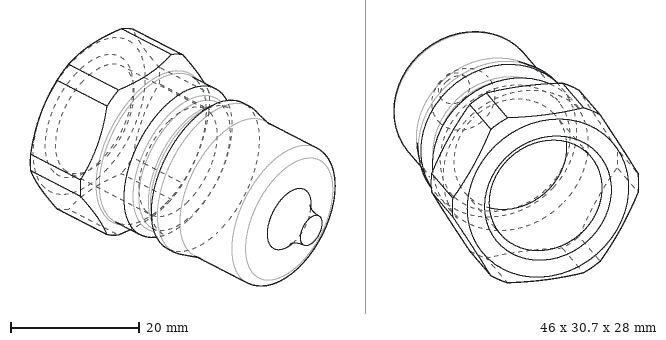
import cadquery as cq
import math


total_length = 46.0
collar_start = 13.3
collar_end = 18.4
groove_start = 19.95
groove_end = 21.95
crest_end = 25.35
barrel_start = 29.15
barrel_end = 41.45

across_flats = 28.0
corner_radius = 30.7 / 2
face_radius = 13.3
cone_slope = math.tan(math.radians(60))
front_bevel = (corner_radius - face_radius) / cone_slope

collar_radius = 12.85
groove_radius = 11.1
barrel_radius = 11.85
barrel_round = 1.5
head_blend = 0.5
groove_blend = 0.9

nose_base_radius = 5.2
nose_tip_radius = 2.58

bore_radius = 9.3
bore_mouth_radius = 10.45
bore_depth = 18.4


def blend_point(x_tangent, floor_radius, blend_radius, angle, direction):
    """Point on a fillet after turning by angle (degrees) away from a cylindrical floor."""
    turn = math.radians(angle)
    x = x_tangent + direction * blend_radius * math.sin(turn)
    return x, floor_radius + blend_radius * (1 - math.cos(turn))


def make_body():
    """Revolve the full outer profile, with the head still round."""
    head_cone_end = blend_point(collar_start, collar_radius, head_blend, 60, -1)
    head_blend_mid = blend_point(collar_start, collar_radius, head_blend, 30, -1)
    head_end = head_cone_end[0] - (corner_radius - head_cone_end[1]) / cone_slope

    groove_in = blend_point(groove_start, groove_radius, groove_blend, 60, -1)
    groove_in_mid = blend_point(groove_start, groove_radius, groove_blend, 30, -1)
    groove_out = blend_point(groove_end, groove_radius, groove_blend, 45, 1)
    groove_out_mid = blend_point(groove_end, groove_radius, groove_blend, 22.5, 1)
    crest_start = groove_out[0] + collar_radius - groove_out[1]

    profile = (
        cq.Workplane("XY")
        .lineTo(0, face_radius)
        .lineTo(front_bevel, corner_radius)
        .lineTo(head_end, corner_radius)
        .lineTo(*head_cone_end)
        .threePointArc(head_blend_mid, (collar_start, collar_radius))
        .lineTo(collar_end, collar_radius)
        .lineTo(*groove_in)
        .threePointArc(groove_in_mid, (groove_start, groove_radius))
        .lineTo(groove_end, groove_radius)
        .threePointArc(groove_out_mid, groove_out)
        .lineTo(crest_start, collar_radius)
        .lineTo(crest_end, collar_radius)
        .lineTo(barrel_start, barrel_radius)
        .lineTo(barrel_end - barrel_round, barrel_radius)
        .tangentArcPoint((barrel_end, barrel_radius - barrel_round), relative=False)
        .lineTo(barrel_end, nose_base_radius)
    )

    nose_length = total_length - barrel_end
    nose_drop = nose_base_radius - nose_tip_radius
    flare_radius = (nose_length**2 + nose_drop**2) / (2 * nose_drop)
    half_sweep = math.degrees(math.asin(nose_length / flare_radius)) / 2
    flare_mid = blend_point(total_length, nose_tip_radius, flare_radius, half_sweep, -1)
    profile = profile.threePointArc(flare_mid, (total_length, nose_tip_radius))

    return profile.lineTo(total_length, 0).close().revolve(360, (0, 0, 0), (1, 0, 0))


def cut_hexagon(body):
    """Trim the head to a hexagon with flats at the top and bottom."""
    across_corners = across_flats / math.cos(math.radians(30))
    head_zone = cq.Workplane("YZ").circle(across_corners).extrude(collar_start)
    hexagon = cq.Workplane("YZ").polygon(6, across_corners).extrude(collar_start)
    return body.cut(head_zone.cut(hexagon))


def make_bore():
    """Blind bore with a 45 degree countersunk mouth."""
    mouth_depth = bore_mouth_radius - bore_radius
    return (
        cq.Workplane("XY")
        .lineTo(0, bore_mouth_radius)
        .lineTo(mouth_depth, bore_radius)
        .lineTo(bore_depth, bore_radius)
        .lineTo(bore_depth, 0)
        .close()
        .revolve(360, (0, 0, 0), (1, 0, 0))
    )


result = cut_hexagon(make_body()).cut(make_bore())